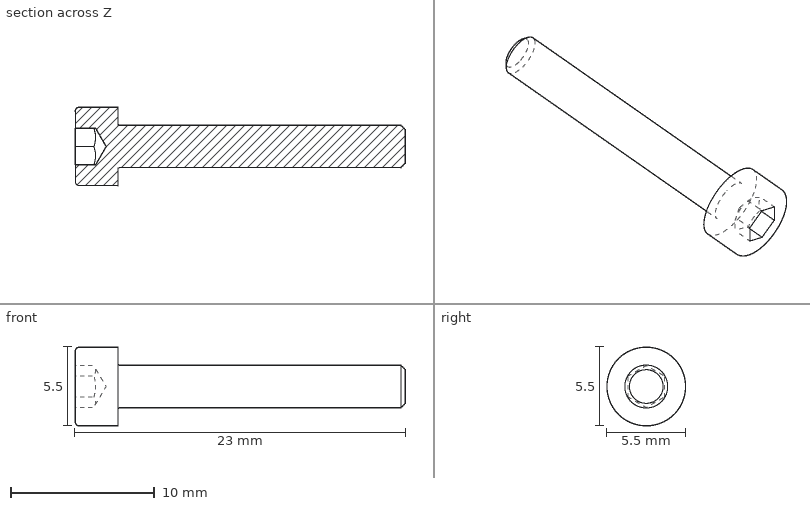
import cadquery as cq
import math

total_length = 23.0
head_diameter = 5.5
head_length = 3.0
head_edge_radius = 0.3
shank_diameter = 3.0
tip_chamfer = 0.32
neck_fillet = 0.1

socket_across_flats = 2.53
socket_depth = 1.3
socket_cone_angle = 120.0

socket_across_corners = socket_across_flats / math.cos(math.radians(30))
cone_radius = socket_across_corners / 2
cone_depth = cone_radius / math.tan(math.radians(socket_cone_angle / 2))


def revolve_about_x(half_profile):
    """Close a half profile along the X axis and spin it about that axis."""
    return half_profile.close().revolve(360, (0, 0, 0), (1, 0, 0))


def make_body():
    """Head and shank with a rounded head edge, a neck fillet and a chamfered tip."""
    head_radius = head_diameter / 2
    shank_radius = shank_diameter / 2
    half_profile = (
        cq.Workplane("XY")
        .lineTo(0, head_radius - head_edge_radius)
        .radiusArc((head_edge_radius, head_radius), head_edge_radius)
        .lineTo(head_length, head_radius)
        .lineTo(head_length, shank_radius + neck_fillet)
        .radiusArc((head_length + neck_fillet, shank_radius), -neck_fillet)
        .lineTo(total_length - tip_chamfer, shank_radius)
        .lineTo(total_length, shank_radius - tip_chamfer)
        .lineTo(total_length, 0)
    )
    return revolve_about_x(half_profile)


def make_socket():
    """Hexagon with corners on +Z and -Z, ending in a cone cut to the hexagon."""
    hexagon = (
        cq.Workplane("YZ")
        .transformed(rotate=(0, 0, 90))
        .polygon(6, socket_across_corners)
        .extrude(socket_depth + cone_depth)
    )
    drill_profile = [
        (0, 0),
        (0, cone_radius),
        (socket_depth, cone_radius),
        (socket_depth + cone_depth, 0),
    ]
    drill = revolve_about_x(cq.Workplane("XY").polyline(drill_profile))
    return hexagon.intersect(drill)


result = make_body().cut(make_socket())